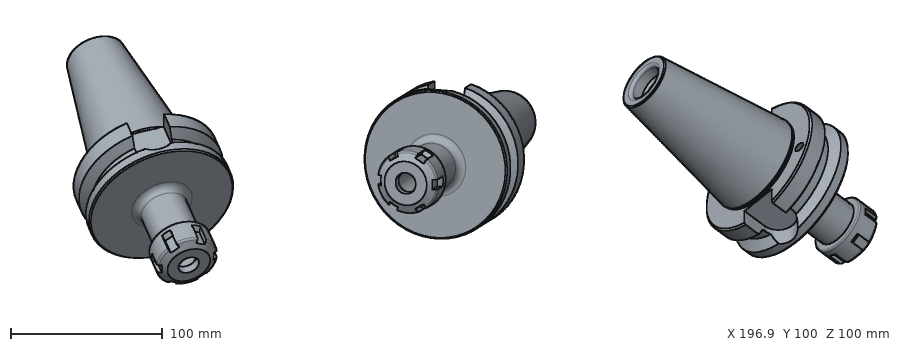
import cadquery as cq
import math

OVERALL_LENGTH = 196.9
OVERCUT = 2.0

TAPER_LENGTH = 102.0
TAPER_LARGE_RADIUS = 34.9
TAPER_RATE = 7 / 24
TAPER_SMALL_RADIUS = TAPER_LARGE_RADIUS - TAPER_LENGTH * TAPER_RATE / 2
TAPER_END_CHAMFER = 0.8
RELIEF_RADIUS = 34.3
RELIEF_SLOPE_LENGTH = 1.2

FLANGE_START = 104.5
FLANGE_END = 139.6
FLANGE_RADIUS = 50.0
REAR_RIM_END = 117.5
FRONT_RIM_START = 132.1
GROOVE_RADIUS = 42.3
GROOVE_START = 121.7
GROOVE_END = 127.8
REAR_RIM_CHAMFER = 1.2
FRONT_RIM_CHAMFER = 1.0

KEYWAY_WIDTH = 25.8
KEYWAY_FLOOR = 35.2
KEYWAY_END = 135.9

SPINDLE_RADIUS = 16.0
SPINDLE_FILLET = 5.1
NOSE_END = 191.0

THROUGH_RADIUS = 7.0
MOUTH_RADIUS = 14.8
MOUTH_FILLET = 2.4
PILOT_RADIUS = MOUTH_RADIUS - MOUTH_FILLET
PILOT_END = 10.0
STEP_RADIUS = 10.5
STEP_END = 13.4

COOLANT_RADIUS = 3.2
COOLANT_CIRCLE_RADIUS = 41.5
COOLANT_TILT = 36.0
COOLANT_DEPTH = 15.8
COOLANT_ANGLES = (20.0, 200.0)

NUT_START = 176.8
NUT_RADIUS = 21.0
NUT_BACK_FILLET = 1.0
NUT_FACE_RADIUS = 14.8
NUT_CONE_ANGLE = 60.0
NUT_EDGE_FILLET = 2.0

SLOT_COUNT = 6
SLOT_WIDTH = 6.7
SLOT_FLOOR = 18.0
SLOT_RAMP_LENGTH = 3.0
SLOT_START = 182.5
LONG_SLOT_START = 180.5
LONG_SLOT_ANGLES = (60, 120)


def revolve_about_x(profile):
    return profile.close().revolve(360, (0, 0, 0), (1, 0, 0))


def holder_blank():
    """Taper, relief neck, grooved flange and spindle turned as one profile."""
    chamfer_radius = TAPER_SMALL_RADIUS - TAPER_END_CHAMFER
    profile = (
        cq.Workplane("XZ")
        .lineTo(0, chamfer_radius)
        .lineTo(TAPER_END_CHAMFER, TAPER_SMALL_RADIUS + TAPER_END_CHAMFER * TAPER_RATE / 2)
        .lineTo(TAPER_LENGTH, TAPER_LARGE_RADIUS)
        .lineTo(TAPER_LENGTH + RELIEF_SLOPE_LENGTH, RELIEF_RADIUS)
        .lineTo(FLANGE_START, RELIEF_RADIUS)
        .lineTo(FLANGE_START, FLANGE_RADIUS - REAR_RIM_CHAMFER)
        .lineTo(FLANGE_START + REAR_RIM_CHAMFER, FLANGE_RADIUS)
        .lineTo(REAR_RIM_END, FLANGE_RADIUS)
        .lineTo(GROOVE_START, GROOVE_RADIUS)
        .lineTo(GROOVE_END, GROOVE_RADIUS)
        .lineTo(FRONT_RIM_START, FLANGE_RADIUS)
        .lineTo(FLANGE_END - FRONT_RIM_CHAMFER, FLANGE_RADIUS)
        .lineTo(FLANGE_END, FLANGE_RADIUS - FRONT_RIM_CHAMFER)
        .lineTo(FLANGE_END, SPINDLE_RADIUS + SPINDLE_FILLET)
        .radiusArc((FLANGE_END + SPINDLE_FILLET, SPINDLE_RADIUS), -SPINDLE_FILLET)
        .lineTo(NOSE_END, SPINDLE_RADIUS)
        .lineTo(NOSE_END, 0)
    )
    return revolve_about_x(profile)


def holder_bore():
    """Rounded mouth, pilot, narrower step with conical ends, and the through hole."""
    profile = (
        cq.Workplane("XZ")
        .lineTo(0, MOUTH_RADIUS)
        .radiusArc((MOUTH_FILLET, PILOT_RADIUS), -MOUTH_FILLET)
        .lineTo(PILOT_END, PILOT_RADIUS)
        .lineTo(PILOT_END + PILOT_RADIUS - STEP_RADIUS, STEP_RADIUS)
        .lineTo(STEP_END, STEP_RADIUS)
        .lineTo(STEP_END + STEP_RADIUS - THROUGH_RADIUS, THROUGH_RADIUS)
        .lineTo(OVERALL_LENGTH, THROUGH_RADIUS)
        .lineTo(OVERALL_LENGTH, 0)
    )
    return revolve_about_x(profile)


def keyway(side):
    """Round-ended keyway cutter above (side = 1) or below (side = -1) the axis."""
    end_radius = KEYWAY_WIDTH / 2
    end_centre = KEYWAY_END - end_radius
    return (
        cq.Workplane("XY", origin=(0, 0, side * KEYWAY_FLOOR))
        .moveTo(FLANGE_START - OVERCUT, -end_radius)
        .lineTo(end_centre, -end_radius)
        .threePointArc((KEYWAY_END, 0), (end_centre, end_radius))
        .lineTo(FLANGE_START - OVERCUT, end_radius)
        .close()
        .extrude(side * FLANGE_RADIUS)
    )


def coolant_hole(angle):
    """Blind hole leaning towards the axis, at an angle from +Y about the X axis."""
    tilt = math.radians(COOLANT_TILT)
    direction = cq.Vector(math.cos(tilt), -math.sin(tilt), 0)
    mouth = cq.Vector(FLANGE_START, COOLANT_CIRCLE_RADIUS, 0)
    lead_in = 2 * COOLANT_RADIUS
    hole = cq.Solid.makeCylinder(
        COOLANT_RADIUS, COOLANT_DEPTH + lead_in, mouth - direction * lead_in, direction
    )
    return cq.Workplane(obj=hole).rotate((0, 0, 0), (1, 0, 0), angle)


def make_holder():
    holder = holder_blank().cut(holder_bore())
    for side in (1, -1):
        holder = holder.cut(keyway(side))
    for angle in COOLANT_ANGLES:
        holder = holder.cut(coolant_hole(angle))
    return holder


def nut_bore(radius, end):
    """Round cutter from the back of the nut to the given X position."""
    return cq.Workplane("YZ", origin=(NUT_START, 0, 0)).circle(radius).extrude(end - NUT_START)


def nut_blank():
    """Nut with a rounded back edge, a conical front and a recess for the spindle nose."""
    cone_length = (NUT_RADIUS - NUT_FACE_RADIUS) / math.tan(math.radians(NUT_CONE_ANGLE))
    outer = revolve_about_x(
        cq.Workplane("XY")
        .moveTo(NUT_START, 0)
        .lineTo(NUT_START, NUT_RADIUS)
        .lineTo(OVERALL_LENGTH - cone_length, NUT_RADIUS)
        .lineTo(OVERALL_LENGTH, NUT_FACE_RADIUS)
        .lineTo(OVERALL_LENGTH, 0)
    )
    outer = outer.faces("<X").edges().fillet(NUT_BACK_FILLET)
    widest_edges = cq.selectors.RadiusNthSelector(-1)
    outer = outer.edges("%CIRCLE").edges(widest_edges).edges(">X").fillet(NUT_EDGE_FILLET)
    nose_recess = nut_bore(SPINDLE_RADIUS, NOSE_END)
    face_opening = nut_bore(THROUGH_RADIUS, OVERALL_LENGTH)
    return outer.cut(nose_recess).cut(face_opening)


def wrench_slot(angle):
    """Open-fronted slot with a ramped start, at an angle from -Y towards +Z."""
    start = LONG_SLOT_START if angle in LONG_SLOT_ANGLES else SLOT_START
    cutter_radius = NUT_RADIUS + OVERCUT
    ramp_slope = SLOT_RAMP_LENGTH / (NUT_RADIUS - SLOT_FLOOR)
    cutter = (
        cq.Workplane("XY")
        .moveTo(start - OVERCUT * ramp_slope, -cutter_radius)
        .lineTo(start + SLOT_RAMP_LENGTH, -SLOT_FLOOR)
        .lineTo(OVERALL_LENGTH, -SLOT_FLOOR)
        .lineTo(OVERALL_LENGTH, -cutter_radius)
        .close()
        .extrude(SLOT_WIDTH / 2, both=True)
    )
    return cutter.rotate((0, 0, 0), (1, 0, 0), -angle)


def make_nut():
    nut = nut_blank()
    for index in range(SLOT_COUNT):
        nut = nut.cut(wrench_slot(index * 360 // SLOT_COUNT))
    return nut


holder = make_holder()
nut = make_nut()
result = cq.Compound.makeCompound([holder.val(), nut.val()])